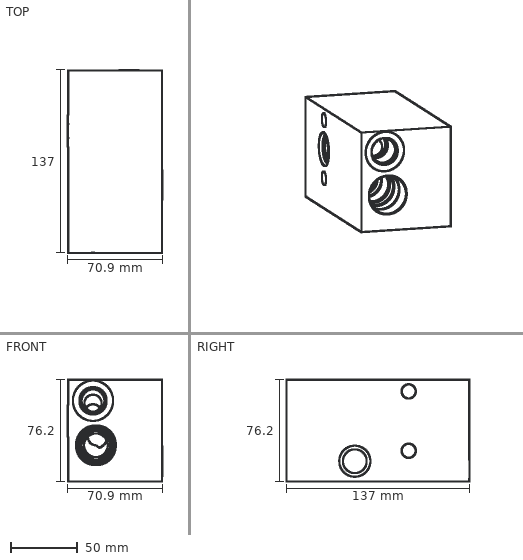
import cadquery as cq
import math

SEAL_PROUD = 0.3
BLOCK_X = 70.9 - 2 * SEAL_PROUD
BLOCK_Y = 137 - SEAL_PROUD
BLOCK_Z = 76.2

PORT_Y = BLOCK_Y - 45.4
PORT_Z = 45.2
MOUNT_RADIUS = 5.2
MOUNT_SPACING = 44.4
PORT_STEPS = [(0, 9.9), (2.5, 9.9), (2.6, 9.0), (3.0, 8.1)]

UPPER_X = 18.6
UPPER_Z = 60.5
SPOTFACE_RADIUS = 15.1
SPOTFACE_DEPTH = 0.5
UPPER_STEPS = [
    (0, 10.3), (3.5, 10.3), (4.5, 9.3), (21.9, 9.3), (22.8, 8.5), (26.0, 8.5), (31.1, 0),
]

SLOPED_RADIUS = 6.5
SLOPED_START_Y = 26.0
SLOPED_EXIT_Z = 51.3

LOWER_X = 20.8
LOWER_Z = 27.1
LOWER_STEPS = [
    (0, 15.0), (0.5, 14.4),
    (16.2, 14.4), (16.6, 14.0),
    (27.4, 14.0), (28.2, 13.2),
    (35.6, 13.2), (36.7, 12.0),
    (52.1, 12.0), (52.6, 11.5),
    (60.3, 11.5), (61.1, 10.7),
    (65.8, 10.7), (65.8, 8.9),
    (76.0, 8.9), (81.5, 0),
]

OBLIQUE_RADIUS = 6.5
OBLIQUE_RUN = 1.6
OBLIQUE_DROP = 14.4
DRILL_POINT_ANGLE = 118
DRILL_TIP_LENGTH = OBLIQUE_RADIUS / math.tan(math.radians(DRILL_POINT_ANGLE / 2))

SEAL_SECTION_RADIUS = 1.4
SEAL_SEAT_DEPTH = 2 * SEAL_SECTION_RADIUS - SEAL_PROUD
SEALS = [
    ((0, PORT_Y, PORT_Z), (1, 0, 0), 11.4),
    ((BLOCK_X, BLOCK_Y - 85.7, 15.2), (-1, 0, 0), 10.3),
    ((45.5, BLOCK_Y, 9.3), (0, -1, 0), 6.6),
]


def make_blank():
    return cq.Workplane("XY").box(BLOCK_X, BLOCK_Y, BLOCK_Z, centered=False)


def make_stepped_bore(mouth, inward, steps):
    """Round cutter that follows (depth, radius) steps from the mouth into the block."""
    sideways = cq.Vector(inward[2], inward[0], inward[1])
    plane = cq.Plane(origin=mouth, xDir=sideways, normal=sideways.cross(cq.Vector(inward)))
    outline = [(0, 0)] + [(radius, depth) for depth, radius in steps]
    last_depth, last_radius = steps[-1]
    if last_radius > 0:
        outline.append((0, last_depth))
    return cq.Workplane(plane).polyline(outline).close().revolve(360, (0, 0), (0, 1))


def make_passage(start, end, radius):
    """Straight round cutter between two points."""
    start = cq.Vector(start)
    path = cq.Vector(end) - start
    return cq.Workplane(cq.Solid.makeCylinder(radius, path.Length, start, path))


def cut_front_ports(block):
    upper_mouth = (UPPER_X, 0, UPPER_Z)
    spotface_steps = [(0, SPOTFACE_RADIUS), (SPOTFACE_DEPTH, SPOTFACE_RADIUS)]
    block = block.cut(make_stepped_bore(upper_mouth, (0, 1, 0), spotface_steps))
    block = block.cut(make_stepped_bore(upper_mouth, (0, 1, 0), UPPER_STEPS))
    return block.cut(make_stepped_bore((LOWER_X, 0, LOWER_Z), (0, 1, 0), LOWER_STEPS))


def cut_sloped_passage(block):
    slope = (SLOPED_EXIT_Z - UPPER_Z) / BLOCK_Y
    start = (UPPER_X, SLOPED_START_Y, UPPER_Z + slope * SLOPED_START_Y)
    end_y = BLOCK_Y + SLOPED_RADIUS
    end = (UPPER_X, end_y, UPPER_Z + slope * end_y)
    return block.cut(make_passage(start, end, SLOPED_RADIUS))


def cut_left_port(block):
    block = block.cut(make_stepped_bore((0, PORT_Y, PORT_Z), (1, 0, 0), PORT_STEPS))
    direction = cq.Vector(OBLIQUE_RUN, -1, -1)
    entry = cq.Vector(SEAL_SEAT_DEPTH, PORT_Y, PORT_Z)
    tip_start = entry + direction * OBLIQUE_DROP
    passage = make_passage(entry - direction * OBLIQUE_DROP, tip_start, OBLIQUE_RADIUS)
    tip = cq.Solid.makeCone(OBLIQUE_RADIUS, 0, DRILL_TIP_LENGTH, tip_start, direction)
    behind_seat = make_blank().translate((SEAL_SEAT_DEPTH, 0, 0))
    return block.cut(passage.union(tip).intersect(behind_seat))


def cut_mounting_holes(block):
    for side in (-1, 1):
        z = PORT_Z + side * MOUNT_SPACING / 2
        block = block.cut(make_passage((0, PORT_Y, z), (BLOCK_X, PORT_Y, z), MOUNT_RADIUS))
    return block


def cut_seal_seats(block):
    for centre, inward, ring_radius in SEALS:
        seat_radius = ring_radius + SEAL_SECTION_RADIUS
        seat_steps = [(0, seat_radius), (SEAL_SEAT_DEPTH, seat_radius)]
        block = block.cut(make_stepped_bore(centre, inward, seat_steps))
    return block


def make_block():
    block = cut_front_ports(make_blank())
    block = cut_sloped_passage(block)
    block = cut_left_port(block)
    block = cut_mounting_holes(block)
    return cut_seal_seats(block)


def make_seal(centre, inward, ring_radius):
    """Seal ring resting on the floor of its seat."""
    inward = cq.Vector(inward)
    ring_centre = cq.Vector(centre) + inward * (SEAL_SECTION_RADIUS - SEAL_PROUD)
    return cq.Solid.makeTorus(ring_radius, SEAL_SECTION_RADIUS, ring_centre, inward)


block = make_block()
seals = [make_seal(*seal) for seal in SEALS]
result = cq.Compound.makeCompound([block.val(), *seals])